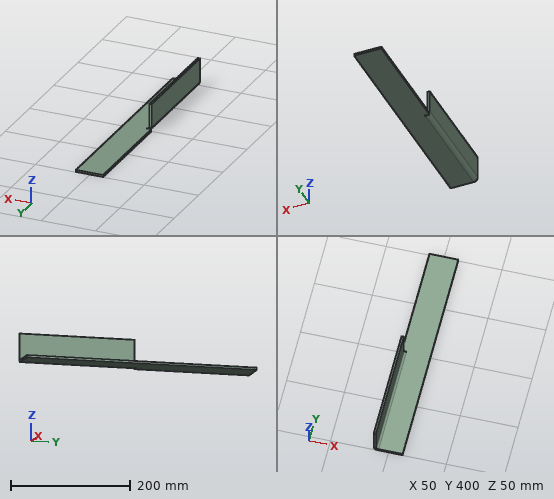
import cadquery as cq

width = 50.0
length = 400.0
height = 50.0

thickness = 4.0
inner_radius = 4.0
outer_radius = inner_radius + thickness

flange_length = length / 2

relief_width = 0.6
relief_overrun = 0.4
relief_depth = outer_radius + relief_overrun

left = -width / 2
front = -length / 2
bottom = -height / 2


def make_base():
    """Flat strip covering the whole footprint."""
    return cq.Workplane("XY").box(width, length, thickness).translate((0, 0, bottom + thickness / 2))


def make_corner_clearance():
    """Strip of the base that is replaced by the bend, including the end relief."""
    bend_strip = cq.Workplane("XY").box(outer_radius, flange_length, thickness, centered=False)
    relief = (
        cq.Workplane("XY")
        .box(relief_depth, relief_width, thickness, centered=False)
        .translate((0, flange_length, 0))
    )
    return bend_strip.union(relief).translate((left, front, bottom))


def make_bent_flange():
    """Quarter-round bend and upright flange, extruded backwards from the front end."""
    bend_x = left + outer_radius
    bend_z = bottom + outer_radius
    top = bottom + height
    profile = (
        cq.Workplane("XZ", origin=(0, front, 0))
        .moveTo(bend_x, bottom)
        .radiusArc((left, bend_z), outer_radius)
        .lineTo(left, top)
        .lineTo(left + thickness, top)
        .lineTo(left + thickness, bend_z)
        .radiusArc((bend_x, bottom + thickness), -inner_radius)
        .close()
    )
    return profile.extrude(-flange_length)


result = make_base().cut(make_corner_clearance()).union(make_bent_flange())